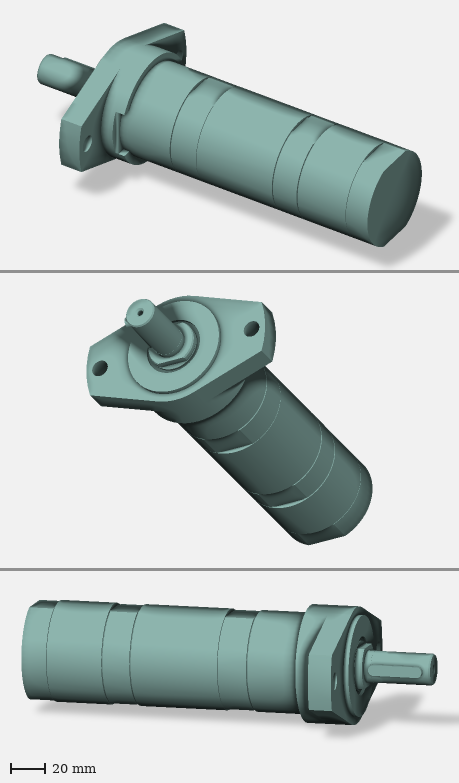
import cadquery as cq
import math


shaft_diameter = 18.8
shaft_tip_x = -47.0
shaft_shoulder_x = -7.0
shaft_neck_diameter = 19.0
shaft_neck_length = 4.0
tip_chamfer_length = 1.0
tip_diameter = 17.5

centre_mouth_diameter = 6.0
centre_drill_diameter = 3.6
centre_cone_depth = 1.0
centre_hole_depth = 5.0
centre_point_length = 1.1

key_width = 6.35
key_length = 32.6
key_start_x = shaft_tip_x + 4.3
key_top_y = 12.1
key_seat_y = 6.0

collar_diameter = 29.95
collar_flat_width = 24.0
collar_back_x = -2.5
collar_chamfer_length = 1.0
collar_front_diameter = 28.8
recess_diameter = 35.0
recess_depth = 2.0

body_diameter = 60.0
pilot_height = 3.0
body_end_x = 196.0

flange_thickness = 14.0
flange_span = 118.0
flange_hub_diameter = 70.0
flange_side_angle = math.radians(20)
bolt_spacing = 100.0
bolt_diameter = 10.3

hub_end_x = 28.0
notch_height = 30.0
notch_start_x = 24.0
ledge_start_x = 22.0

wide_groove = 0.8
narrow_groove = 0.3
bands = [
    (58.5, 77.0, wide_groove, narrow_groove),
    (129.5, 147.4, wide_groove, wide_groove),
    (180.7, body_end_x, narrow_groove, 0),
]
band_flat_width = 55.0
groove_diameter = 58.0

cut_margin = 1.0


def cylinder(diameter, start_x, end_x):
    plane = cq.Workplane("YZ").workplane(offset=start_x)
    return plane.circle(diameter / 2).extrude(end_x - start_x)


def groove_cutter(start_x, end_x):
    outer = cylinder(body_diameter + 2 * cut_margin, start_x, end_x)
    return outer.cut(cylinder(groove_diameter, start_x, end_x))


def block(start, end):
    size = [b - a for a, b in zip(start, end)]
    return cq.Workplane("XY").box(*size, centered=False).translate(start)


def flat_cutters(start_x, end_x, across_flats, diameter):
    """Two blocks that leave parallel flats facing +Z and -Z."""
    reach = diameter / 2 + cut_margin
    half = across_flats / 2
    upper = block((start_x, -reach, half), (end_x, reach, reach))
    return upper.union(upper.mirror("XY"))


def make_flange():
    """Two-bolt plate; the round hub overlaps it and rounds its middle."""
    hub_radius = flange_hub_diameter / 2
    end_radius = flange_span / 2
    tangent_y = hub_radius * math.sin(flange_side_angle)
    tangent_z = hub_radius * math.cos(flange_side_angle)
    side_length = math.sqrt(end_radius**2 - hub_radius**2)
    corner_y = tangent_y + side_length * math.cos(flange_side_angle)
    corner_z = tangent_z - side_length * math.sin(flange_side_angle)
    outline = (
        cq.Workplane("YZ")
        .moveTo(-tangent_y, tangent_z)
        .lineTo(tangent_y, tangent_z)
        .lineTo(corner_y, corner_z)
        .threePointArc((end_radius, 0), (corner_y, -corner_z))
        .lineTo(tangent_y, -tangent_z)
        .lineTo(-tangent_y, -tangent_z)
        .lineTo(-corner_y, -corner_z)
        .threePointArc((-end_radius, 0), (-corner_y, corner_z))
        .close()
    )
    plate = outline.extrude(flange_thickness)
    holes = (
        cq.Workplane("YZ")
        .pushPoints([(-bolt_spacing / 2, 0), (bolt_spacing / 2, 0)])
        .circle(bolt_diameter / 2)
        .extrude(flange_thickness)
    )
    return plate.cut(holes)


def make_hub():
    """Round hub with a flat and a deeper notch on its -Y side."""
    radius = flange_hub_diameter / 2
    half = notch_height / 2
    ledge_y = -math.sqrt(radius**2 - half**2)
    outside_y = radius + cut_margin
    hub = cylinder(flange_hub_diameter, 0, hub_end_x)
    ledge = block((ledge_start_x, -outside_y, -half), (hub_end_x, ledge_y, half))
    notch = block((notch_start_x, -outside_y, -half), (hub_end_x, 0, half))
    return hub.cut(ledge).cut(notch)


def make_body():
    """Round housing with the pilot at its front and flats on its wrench bands."""
    body = cylinder(body_diameter, -pilot_height, body_end_x)
    for start_x, end_x, start_groove, end_groove in bands:
        body = body.cut(flat_cutters(start_x, end_x, band_flat_width, body_diameter))
        if start_groove:
            body = body.cut(groove_cutter(start_x, start_x + start_groove))
        if end_groove:
            body = body.cut(groove_cutter(end_x - end_groove, end_x))
    return body.cut(cylinder(recess_diameter, -pilot_height, -pilot_height + recess_depth))


def make_collar():
    chamfer_end_x = shaft_shoulder_x + collar_chamfer_length
    front_radius = collar_front_diameter / 2
    radius = collar_diameter / 2
    profile = [
        (shaft_shoulder_x, 0),
        (shaft_shoulder_x, front_radius),
        (chamfer_end_x, radius),
        (collar_back_x - collar_chamfer_length, radius),
        (collar_back_x, front_radius),
        (collar_back_x, radius),
        (0, radius),
        (0, 0),
    ]
    collar = cq.Workplane("XY").polyline(profile).close().revolve(360, (0, 0), (1, 0))
    flats = flat_cutters(shaft_shoulder_x, collar_back_x, collar_flat_width, collar_diameter)
    return collar.cut(flats)


def make_shaft():
    neck_x = shaft_shoulder_x - shaft_neck_length
    chamfer_end_x = shaft_tip_x + tip_chamfer_length
    cone_end_x = shaft_tip_x + centre_cone_depth
    profile = [
        (shaft_tip_x, centre_mouth_diameter),
        (shaft_tip_x, tip_diameter),
        (chamfer_end_x, shaft_diameter),
        (neck_x, shaft_diameter),
        (neck_x, shaft_neck_diameter),
        (shaft_shoulder_x, shaft_neck_diameter),
        (shaft_shoulder_x, 0),
        (shaft_tip_x + centre_hole_depth + centre_point_length, 0),
        (shaft_tip_x + centre_hole_depth, centre_drill_diameter),
        (cone_end_x, centre_drill_diameter),
    ]
    points = [(x, diameter / 2) for x, diameter in profile]
    return cq.Workplane("XY").polyline(points).close().revolve(360, (0, 0), (1, 0))


def make_key():
    plane = cq.Workplane("XZ").workplane(offset=-key_top_y)
    centre_x = key_start_x + key_length / 2
    return plane.center(centre_x, 0).slot2D(key_length, key_width).extrude(key_top_y - key_seat_y)


result = make_body().union(make_flange()).union(make_hub()).union(make_collar())
result = result.union(make_shaft()).union(make_key()).clean()